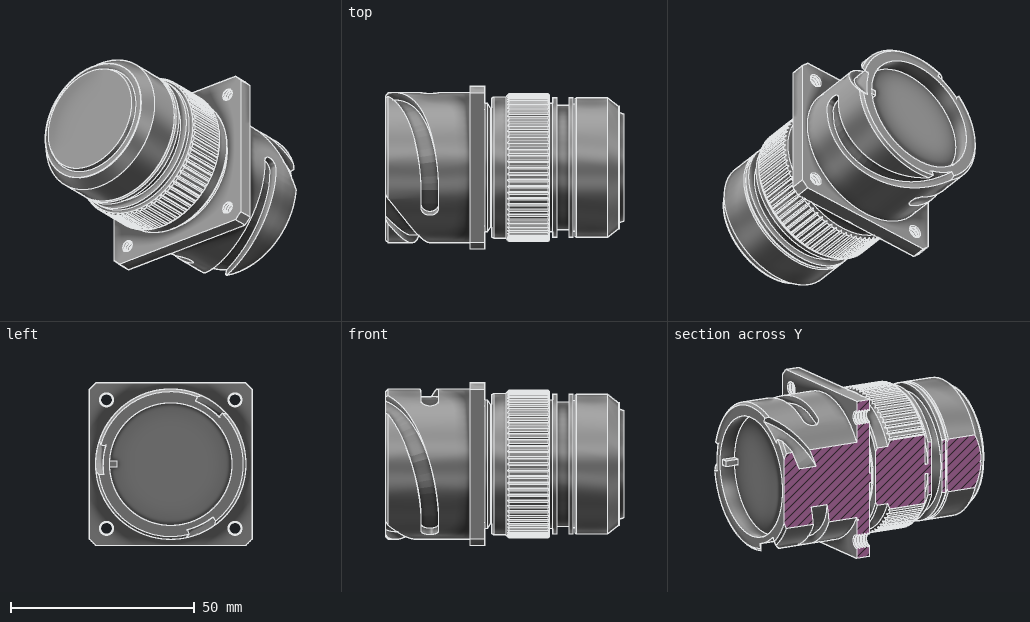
import math

import cadquery as cq


total_length = 65.0
flange_side = 44.45
cutter_overshoot = 1.0

shell_radius = 20.5
shell_edge_chamfer = 0.75

flange_front = 23.0
flange_back = 27.1
flange_corner_chamfer = 1.85

hole_spacing = 35.0
hole_minor_radius = 1.6
hole_major_radius = 1.9
thread_pitch = 0.9
thread_groove_width = 0.6

neck_radius = 17.55
neck_straight_end = 27.75
neck_small_radius = 16.3
neck_taper_end = 28.6

collar_start = 28.95
collar_radius = 19.3
collar_chamfer_length = 0.6
collar_chamfer_depth = 0.35

knurl_start = 32.8
knurl_end = 44.75
knurl_radius = 20.15
knurl_front_chamfer = knurl_radius - collar_radius
knurl_back_chamfer = 0.45
knurl_count = 72
knurl_groove_width = 0.8
knurl_groove_depth = 0.4

ring_radius = 19.05
front_ring_start = 45.55
rear_ring_start = 49.95
ring_thickness = 1.2
ring_groove_radius = 17.0
rear_gap_radius = 17.4

back_body_start = 51.6
back_body_chamfer_length = 0.4
back_body_chamfer_depth = 0.3
back_taper_start = 60.5
back_taper_end = 63.45
back_rim_end = 63.7
back_rim_radius = 16.75
cable_end_base_radius = 15.05
cable_end_tip_radius = 14.6

socket_radius = 16.7
socket_depth = 4.55
key_width = 1.6
key_top_radius = 14.7
key_front = 0.75

slot_count = 3
slot_width = 4.8
slot_floor_radius = 18.4
slot_outer_radius = shell_radius + cutter_overshoot
slot_end_x = 12.1
slot_entry_angle = 2.5
slot_sweep = 120.0
slot_tail_sweep = 13.0
slot_bend_radius = 66.0
slot_bend_step = 1.82
slot_bend_steps = 25


def revolved_body():
    """All round portions of the connector, turned about X."""
    profile = [
        (0, 0),
        (0, shell_radius - shell_edge_chamfer),
        (shell_edge_chamfer, shell_radius),
        (flange_back, shell_radius),
        (flange_back, neck_radius),
        (neck_straight_end, neck_radius),
        (neck_taper_end, neck_small_radius),
        (collar_start, neck_small_radius),
        (collar_start, collar_radius - collar_chamfer_depth),
        (collar_start + collar_chamfer_length, collar_radius),
        (knurl_start, collar_radius),
        (knurl_start + knurl_front_chamfer, knurl_radius),
        (knurl_end - knurl_back_chamfer, knurl_radius),
        (knurl_end, knurl_radius - knurl_back_chamfer),
        (knurl_end, neck_radius),
        (front_ring_start, neck_radius),
        (front_ring_start, ring_radius),
        (front_ring_start + ring_thickness, ring_radius),
        (front_ring_start + ring_thickness, ring_groove_radius),
        (rear_ring_start, ring_groove_radius),
        (rear_ring_start, ring_radius),
        (rear_ring_start + ring_thickness, ring_radius),
        (rear_ring_start + ring_thickness, rear_gap_radius),
        (back_body_start, rear_gap_radius),
        (back_body_start, ring_radius - back_body_chamfer_depth),
        (back_body_start + back_body_chamfer_length, ring_radius),
        (back_taper_start, ring_radius),
        (back_taper_end, back_rim_radius),
        (back_rim_end, back_rim_radius),
        (back_rim_end, cable_end_base_radius),
        (total_length, cable_end_tip_radius),
        (total_length, 0),
    ]
    return cq.Workplane("XY").polyline(profile).close().revolve(360, (0, 0, 0), (1, 0, 0))


def flange():
    """Square mounting plate with bevelled corners."""
    return (
        cq.Workplane("YZ", origin=(flange_front, 0, 0))
        .rect(flange_side, flange_side)
        .extrude(flange_back - flange_front)
        .edges("|X")
        .chamfer(flange_corner_chamfer)
    )


def threaded_hole():
    """Cutter for one flange hole, centred on the X axis."""
    thickness = flange_back - flange_front
    cutter = cq.Workplane("YZ", origin=(flange_front, 0, 0)).circle(hole_minor_radius).extrude(thickness)
    groove_profile = [
        (-thread_groove_width / 2, 0),
        (-thread_groove_width / 2, hole_minor_radius),
        (0, hole_major_radius),
        (thread_groove_width / 2, hole_minor_radius),
        (thread_groove_width / 2, 0),
    ]
    groove = cq.Workplane("XY").polyline(groove_profile).close().revolve(360, (0, 0, 0), (1, 0, 0))
    for turn in range(int(thickness / thread_pitch) + 1):
        cutter = cutter.union(groove.translate((flange_front + turn * thread_pitch, 0, 0)))
    return cutter


def knurl_grooves():
    """V grooves around the knurled band, one of them facing -Y."""
    bottom = knurl_radius - knurl_groove_depth
    top = knurl_radius + cutter_overshoot
    top_half_width = knurl_groove_width / 2 * (top - bottom) / knurl_groove_depth
    groove = (
        cq.Workplane("YZ", origin=(knurl_start, 0, 0))
        .polyline(
            [
                (-bottom, 0),
                (-top, top_half_width),
                (-top, -top_half_width),
            ]
        )
        .close()
        .extrude(knurl_end - knurl_start)
        .val()
    )
    origin = cq.Vector(0, 0, 0)
    x_axis = cq.Vector(1, 0, 0)
    grooves = [groove.rotate(origin, x_axis, i * 360 / knurl_count) for i in range(knurl_count)]
    return cq.Workplane(cq.Compound.makeCompound(grooves))


def slot_section(angle, x, slope):
    """Rectangle across the slot at an angle about X from the slot entry, for a path inclined by slope."""
    theta = math.radians(angle)
    radial = cq.Vector(0, math.cos(theta), math.sin(theta))
    tangent = cq.Vector(0, -math.sin(theta), math.cos(theta))
    across = cq.Vector(math.cos(slope), 0, 0) - tangent * math.sin(slope)
    half_across = across * (slot_width / 2)
    inner = cq.Vector(x, 0, 0) + radial * slot_floor_radius
    outer = cq.Vector(x, 0, 0) + radial * slot_outer_radius
    corners = [inner - half_across, inner + half_across, outer + half_across, outer - half_across]
    return cq.Wire.makePolygon(corners, close=True)


def ramp_section(step):
    """Slot section a number of steps up the ramp, an arc of slot_bend_radius wrapped around the shell."""
    slope = math.radians(step * slot_bend_step)
    around = slot_bend_radius * math.sin(slope)
    angle = slot_sweep - slot_tail_sweep - math.degrees(around / shell_radius)
    x = slot_end_x - slot_bend_radius * (1 - math.cos(slope))
    return slot_section(angle, x, slope)


def bayonet_slot():
    """Cutter for one slot: faceted ramp, straight tail and round end."""
    ramp_sections = [ramp_section(step) for step in range(slot_bend_steps, -1, -1)]
    ramp = cq.Solid.makeLoft(ramp_sections, True)
    tail = cq.Solid.makeLoft([ramp_section(0), slot_section(slot_sweep, slot_end_x, 0)], True)
    theta = math.radians(slot_sweep)
    radial = cq.Vector(0, math.cos(theta), math.sin(theta))
    round_end = cq.Solid.makeCylinder(
        slot_width / 2,
        slot_outer_radius - slot_floor_radius,
        cq.Vector(slot_end_x, 0, 0) + radial * slot_floor_radius,
        radial,
    )
    return cq.Workplane(ramp).union(cq.Workplane(tail)).union(cq.Workplane(round_end))


def socket():
    """Cutter for the round recess, leaving the polarising key on its +Y wall."""
    recess = cq.Workplane("YZ").circle(socket_radius).extrude(socket_depth)
    key_length = socket_depth - key_front
    key = cq.Workplane("XY").box(key_length, socket_radius, key_width, centered=(False, False, True))
    return recess.cut(key.translate((key_front, key_top_radius, 0)))


result = revolved_body().union(flange())
result = result.cut(knurl_grooves())
for side_y in (-1, 1):
    for side_z in (-1, 1):
        result = result.cut(threaded_hole().translate((0, side_y * hole_spacing / 2, side_z * hole_spacing / 2)))
for i in range(slot_count):
    turn = slot_entry_angle + i * 360 / slot_count
    result = result.cut(bayonet_slot().rotate((0, 0, 0), (1, 0, 0), turn))
result = result.cut(socket())